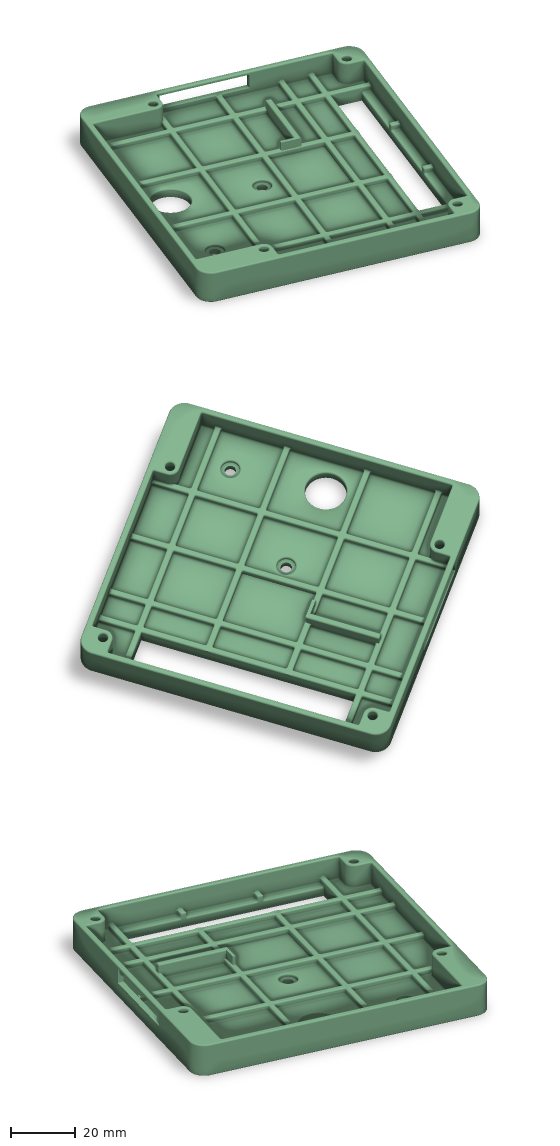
import cadquery as cq
LENGTH = 101.0
WIDTH = 95.0
HEIGHT = 11.0
CORNER_RADIUS = 5.0
WALL = 2.0
FLOOR = 3.0
ROUND = 0.5

BOSS_RADIUS = 3.0
BOSS_X = 44.0
BOSS_BACK_Y = 41.0
BOSS_FRONT_Y = -24.0
BOSS_HOLE_DIAMETER = 3.0

RIB_THICKNESS = 2.0
RIB_TOP = 5.0
RIB_X = [-36.5, -13.2, 13.0, 35.5]
RIB_Y = [-21.0, 0.0, 21.0, 31.0]
PLAIN_CELL = (2, 2)

WINDOW_BACK_Y = 42.5

FENCE_COLUMN = 1
FENCE_TOP = 8.0
FENCE_Y = 11.5
FENCE_RETURN_X = -13.0
FENCE_RETURN_FRONT_Y = 5.7
FENCE_RETURN_THICKNESS = 1.0

SLOT_FRONT_Y = -20.0
SLOT_BACK_Y = 10.3
SLOT_TOP = 10.0

CABLE_HOLE_DIAMETER = 13.0
CABLE_HOLE_CENTRE = (-3.0, -35.5)
SCREW_HOLE_DIAMETER = 3.5
SCREW_HEAD_DIAMETER = 6.0
SCREW_HEAD_DEPTH = 1.0
SCREW_HOLE_CENTRES = [(0.0, -6.0), (27.5, -33.5)]

PICK = 0.1

INNER_X = LENGTH / 2 - WALL
INNER_Y = WIDTH / 2 - WALL
HALF_RIB = RIB_THICKNESS / 2
BLOCK_X = BOSS_X - BOSS_RADIUS
BLOCK_BACK_Y = BOSS_BACK_Y - BOSS_RADIUS
BLOCK_FRONT_Y = BOSS_FRONT_Y + BOSS_RADIUS


def block(x_range, y_range, z_range):
    """Axis-aligned box between the given limits."""
    (x0, x1), (y0, y1), (z0, z1) = x_range, y_range, z_range
    return cq.Workplane().box(x1 - x0, y1 - y0, z1 - z0, centered=False).translate((x0, y0, z0))


def rounded_mouth(prism):
    """Cutter that rounds over the rim of an opening, for an opening shaped like the prism."""
    box = prism.val().BoundingBox()
    slab = block(
        (box.xmin - 2 * ROUND, box.xmax + 2 * ROUND),
        (box.ymin - 2 * ROUND, box.ymax + 2 * ROUND),
        (box.zmax - 2 * ROUND, box.zmax),
    )
    rim = cq.selectors.BoxSelector(
        (box.xmin - ROUND, box.ymin - ROUND, box.zmax - ROUND),
        (box.xmax + ROUND, box.ymax + ROUND, box.zmax + ROUND),
    )
    return slab.cut(slab.cut(prism).faces(">Z").edges(rim).fillet(ROUND))


def outer_body():
    body = cq.Workplane().box(LENGTH, WIDTH, HEIGHT, centered=(True, True, False))
    body = body.edges("|Z").fillet(CORNER_RADIUS)
    return body.faces("<Z or >Z").edges().fillet(ROUND)


def cavity_prism(bottom):
    """Cross-shaped inside of the tray: the corners left over are the screw blocks."""
    heights = (bottom, HEIGHT)
    wide = block((-INNER_X, INNER_X), (BLOCK_FRONT_Y, BLOCK_BACK_Y), heights)
    deep = block((-BLOCK_X, BLOCK_X), (-INNER_Y, INNER_Y), heights)
    prism = wide.edges("|Z").fillet(ROUND).union(deep.edges("|Z").fillet(ROUND))
    for x in (-BLOCK_X, BLOCK_X):
        for y in (BLOCK_FRONT_Y, BLOCK_BACK_Y):
            corner = cq.selectors.BoxSelector((x - PICK, y - PICK, 0), (x + PICK, y + PICK, HEIGHT))
            prism = prism.edges("|Z").edges(corner).fillet(BOSS_RADIUS)
    return prism


def cell_spans(column):
    """Front and back limits of the cells in one column of the rib grid."""
    dividers = RIB_Y + [FENCE_Y] if column == FENCE_COLUMN else RIB_Y
    fronts = [-INNER_Y] + [y + HALF_RIB for y in sorted(dividers)]
    backs = [y - HALF_RIB for y in sorted(dividers)] + [INNER_Y]
    return list(zip(fronts, backs))


def cut_cells(body):
    """Sink the floor between the ribs, cell by cell."""
    inside = cavity_prism(0)
    lefts = [-INNER_X] + [x + HALF_RIB for x in RIB_X]
    rights = [x - HALF_RIB for x in RIB_X] + [INNER_X]
    for column, x_range in enumerate(zip(lefts, rights)):
        for row, y_range in enumerate(cell_spans(column)):
            cell = block(x_range, y_range, (FLOOR, RIB_TOP)).edges("|Z").fillet(ROUND)
            mouth = rounded_mouth(cell)
            outline = mouth.faces(">Z").wires().toPending().workplane()
            clearance = outline.extrude(ROUND, combine=False)
            pocket = cell.intersect(inside)
            if (column, row) != PLAIN_CELL:
                pocket = pocket.faces("<Z").edges().fillet(ROUND)
            body = body.cut(pocket).cut(mouth.intersect(inside)).cut(clearance.intersect(inside))
    return body


def cut_cavity(body):
    """Hollow the tray above the ribs and round its rim."""
    prism = cavity_prism(RIB_TOP)
    return body.cut(prism.faces("<Z").edges().fillet(ROUND)).cut(rounded_mouth(prism))


def cut_window(body):
    """Open the floor behind the last cross rib and round the rear edge of the opening."""
    x_range = (RIB_X[0] + HALF_RIB, RIB_X[-1] - HALF_RIB)
    y_range = (RIB_Y[-1] + HALF_RIB, WINDOW_BACK_Y)
    body = body.cut(block(x_range, y_range, (0, HEIGHT)))
    rear_edge = cq.selectors.BoxSelector(
        (x_range[0] - PICK, WINDOW_BACK_Y - PICK, FLOOR - PICK),
        (x_range[1] + PICK, WINDOW_BACK_Y + PICK, HEIGHT),
    )
    return body.edges(rear_edge).fillet(ROUND)


def fence():
    """Rounded bar between two ribs with a thin return wall along the second rib."""
    left = RIB_X[0]
    right = FENCE_RETURN_X + FENCE_RETURN_THICKNESS / 2
    bar = block((left, right), (FENCE_Y - HALF_RIB, FENCE_Y + HALF_RIB), (FLOOR, FENCE_TOP))
    return_wall = block(
        (right - FENCE_RETURN_THICKNESS, right),
        (FENCE_RETURN_FRONT_Y, FENCE_Y),
        (FLOOR, FENCE_TOP),
    )
    return bar.faces(">Z").edges("|X or <X").fillet(ROUND).union(return_wall)


def cut_slot(body):
    slot = block((-LENGTH / 2, -INNER_X), (SLOT_FRONT_Y, SLOT_BACK_Y), (RIB_TOP, SLOT_TOP))
    return body.cut(slot)


def rounded_hole(centre, diameter, bottom, top):
    """Cutter for a round hole with a rounded mouth at its top."""
    hole = cq.Workplane(origin=(*centre, bottom)).circle(diameter / 2).extrude(top - bottom)
    return hole.union(rounded_mouth(hole))


def cut_holes(body):
    for x in (-BOSS_X, BOSS_X):
        for y in (BOSS_FRONT_Y, BOSS_BACK_Y):
            body = body.cut(rounded_hole((x, y), BOSS_HOLE_DIAMETER, 0, HEIGHT))
    body = body.cut(rounded_hole(CABLE_HOLE_CENTRE, CABLE_HOLE_DIAMETER, 0, FLOOR))
    for centre in SCREW_HOLE_CENTRES:
        body = body.cut(rounded_hole(centre, SCREW_HEAD_DIAMETER, FLOOR - SCREW_HEAD_DEPTH, FLOOR))
        body = body.cut(cq.Workplane().center(*centre).circle(SCREW_HOLE_DIAMETER / 2).extrude(FLOOR))
    return body


tray = cut_cells(cut_cavity(outer_body()))
tray = cut_window(tray)
tray = tray.union(fence())
tray = cut_slot(tray)
result = cut_holes(tray)